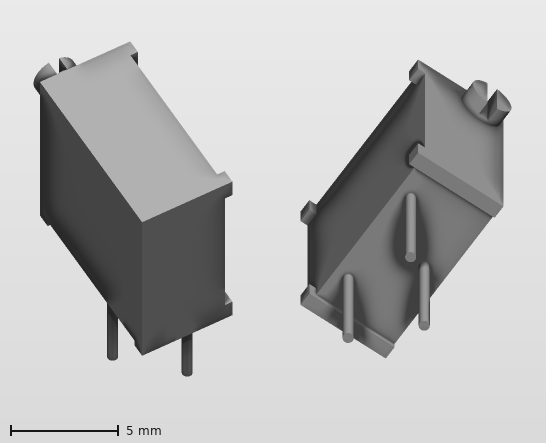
import cadquery as cq

total_height = 16.05
total_length = 10.48

housing_length = 9.55
housing_depth = 4.83
housing_height = 10.02
housing_bottom = total_height - housing_height
foot_length = 0.72
bottom_foot_drop = 0.35
back_foot_depth = 0.4
back_foot_height = 1.01
underside = housing_bottom + bottom_foot_drop

screw_diameter = 2.18
screw_length = total_length - housing_length
screw_y = 1.28
screw_z = total_height - 1.27
slot_width = 0.55
slot_depth = 0.77

lead_diameter = 0.51
lead_pitch = 2.54
middle_lead_x = housing_length / 2
front_row_y = 1.15
back_row_y = front_row_y + lead_pitch


def corner_box(size_x, size_y, size_z, corner):
    """Box placed by its lowest X, Y, Z corner."""
    return cq.Workplane("XY").box(size_x, size_y, size_z, centered=False).translate(corner)


def make_housing():
    """Block with recesses that leave standoffs on the bottom and at the back corners."""
    block = corner_box(housing_length, housing_depth, housing_height, (0, 0, housing_bottom))
    gap_length = housing_length - 2 * foot_length
    back_wall = housing_depth - back_foot_depth

    bottom_gap = corner_box(
        gap_length, housing_depth, bottom_foot_drop, (foot_length, 0, housing_bottom)
    )
    upright_gap = corner_box(
        gap_length, back_foot_depth, housing_height, (foot_length, back_wall, housing_bottom)
    )
    cross_gap = corner_box(
        housing_length,
        back_foot_depth,
        housing_height - 2 * back_foot_height,
        (0, back_wall, housing_bottom + back_foot_height),
    )
    return block.cut(bottom_gap).cut(upright_gap).cut(cross_gap)


def make_screw():
    """Screw head standing on the left face, with a vertical screwdriver slot."""
    head = (
        cq.Workplane("YZ")
        .center(screw_y, screw_z)
        .circle(screw_diameter / 2)
        .extrude(-screw_length)
    )
    slot = corner_box(
        slot_depth,
        slot_width,
        screw_diameter,
        (-screw_length, screw_y - slot_width / 2, screw_z - screw_diameter / 2),
    )
    return head.cut(slot)


def make_lead(x, y):
    """Round lead from its tip up to the housing underside."""
    return cq.Workplane("XY").center(x, y).circle(lead_diameter / 2).extrude(underside)


housing = make_housing()
screw = make_screw()
lead_places = [
    (middle_lead_x - lead_pitch, back_row_y),
    (middle_lead_x, front_row_y),
    (middle_lead_x + lead_pitch, back_row_y),
]
leads = [make_lead(x, y) for x, y in lead_places]

result = cq.Compound.makeCompound([housing.val(), screw.val(), *[lead.val() for lead in leads]])